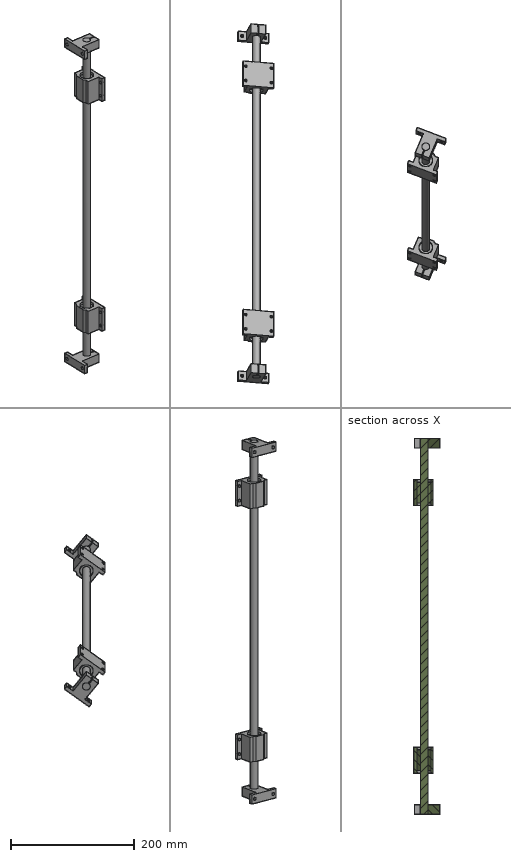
import cadquery as cq

shaft_length = 609.5
shaft_diameter = 13.0

base_width = 50.5
support_thickness = 16.0
support_axis_height = 25.5
support_height = 41.5
support_foot_thickness = 6.0
support_post_width = 24.5
support_slit_width = 2.0
support_hole_spacing = 38.5
support_hole_diameter = 5.0

block_length = 42.5
block_axis_height = 17.0
block_height = 32.0
block_flange_thickness = 6.0
block_body_width = 35.5
block_rib_height = 3.0
block_rib_root_width = 24.0
block_rib_tip_width = 16.5
block_hole_spacing_x = 42.5
block_hole_spacing_z = 25.0
block_hole_diameter = 4.0
block_end_distance = 88.0

bearing_diameter = 22.0
bearing_length = 34.0

half_length = shaft_length / 2
block_center_z = half_length - block_end_distance


def make_shaft():
    return cq.Workplane("XY").circle(shaft_diameter / 2).extrude(half_length, both=True)


def make_support(bottom_z):
    """Inverted-T support with a split clamping hole around the shaft."""
    foot_y = -support_axis_height
    top_y = foot_y + support_height
    center_z = bottom_z + support_thickness / 2
    plane = cq.Workplane("XY", origin=(0, 0, bottom_z))
    foot = plane.center(0, foot_y + support_foot_thickness / 2)
    foot = foot.rect(base_width, support_foot_thickness).extrude(support_thickness)
    post = plane.center(0, (foot_y + top_y) / 2)
    post = post.rect(support_post_width, support_height).extrude(support_thickness)
    shaft_hole = plane.circle(shaft_diameter / 2).extrude(support_thickness)
    slit = plane.center(0, top_y / 2).rect(support_slit_width, top_y).extrude(support_thickness)
    foot_holes = (
        cq.Workplane("XZ", origin=(0, foot_y + support_foot_thickness, center_z))
        .rarray(support_hole_spacing, 6, 2, 1)
        .circle(support_hole_diameter / 2)
        .extrude(support_foot_thickness)
    )
    return foot.union(post).cut(shaft_hole).cut(slit).cut(foot_holes)


def make_block(center_z):
    """Flanged bearing block with a through bore and four mounting holes."""
    flange_y = block_axis_height
    flange_back_y = flange_y - block_flange_thickness
    rib_y = flange_y - block_height
    shoulder_y = rib_y + block_rib_height
    right_side = [
        (base_width / 2, flange_y),
        (base_width / 2, flange_back_y),
        (block_body_width / 2, flange_back_y),
        (block_body_width / 2, shoulder_y),
        (block_rib_root_width / 2, shoulder_y),
        (block_rib_tip_width / 2, rib_y),
    ]
    left_side = [(-x, y) for x, y in reversed(right_side)]
    plane = cq.Workplane("XY", origin=(0, 0, center_z))
    body = plane.polyline(right_side + left_side).close().extrude(block_length / 2, both=True)
    bore = plane.circle(bearing_diameter / 2).extrude(block_length / 2, both=True)
    mounting_holes = (
        cq.Workplane("XZ", origin=(0, flange_y, center_z))
        .rarray(block_hole_spacing_x, block_hole_spacing_z, 2, 2)
        .circle(block_hole_diameter / 2)
        .extrude(block_flange_thickness)
    )
    return body.cut(bore).cut(mounting_holes)


def make_bearing(center_z):
    plane = cq.Workplane("XY", origin=(0, 0, center_z))
    ring = plane.circle(bearing_diameter / 2).circle(shaft_diameter / 2)
    return ring.extrude(bearing_length / 2, both=True)


shaft = make_shaft()
supports = [make_support(z) for z in (-half_length, half_length - support_thickness)]
blocks = [make_block(z) for z in (-block_center_z, block_center_z)]
bearings = [make_bearing(z) for z in (-block_center_z, block_center_z)]

bodies = [shaft] + supports + blocks + bearings
result = cq.Compound.makeCompound([body.val() for body in bodies])